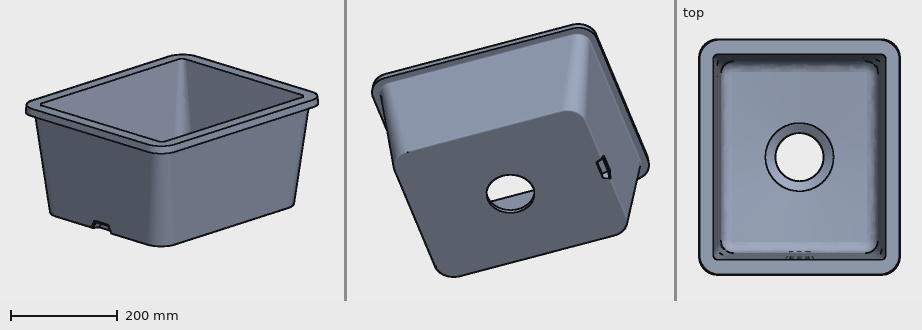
import cadquery as cq

length_x = 378.0
length_y = 443.0
height = 214.0

rim_height = 14.0
rim_draft = 1.5
rim_corner_radius = 36.0

body_top_inset = 15.0
body_bottom_inset = 32.0
body_top_radius = 25.2
body_bottom_radius = 37.5
bottom_edge_radius = 3.0
rim_joint_radius = 3.0

opening_x = 324.5
opening_y = 386.3
basin_depth = 192.2
floor_slope = 0.08
basin_wall_inset_x = 17.5
basin_wall_inset_y = 15.5
basin_top_radius = 10.0
basin_bottom_radius = 25.5
floor_fillet_radius = 22.0

drain_diameter = 90.0
drain_seat_diameter = 122.0
drain_edge_diameter = 128.0
drain_edge_depth = 1.8
drain_seat_depth = 13.5

notch_depth = 13.5
notch_flare_depth = 2.0
notch_mouth_height = 17.0
notch_mouth_top_width = 36.0
notch_mouth_bottom_width = 53.0
notch_throat_height = 13.5
notch_throat_top_width = 33.5
notch_throat_bottom_width = 47.5
notch_back_height = 8.5
notch_back_top_width = 30.0
notch_back_bottom_width = 37.5

selection_margin = 0.5

rim_bottom = height - rim_height
floor_level = height - basin_depth


def tapered_block(bottom_size, bottom_radius, bottom_z, top_size, top_radius, top_z):
    """Block with straight tapered walls and rounded corners that change radius with height."""
    bottom = cq.Sketch().rect(*bottom_size).vertices().fillet(bottom_radius)
    top = cq.Sketch().rect(*top_size).vertices().fillet(top_radius)
    return (
        cq.Workplane("XY")
        .placeSketch(
            bottom.moved(cq.Location(cq.Vector(0, 0, bottom_z))),
            top.moved(cq.Location(cq.Vector(0, 0, top_z))),
        )
        .loft(ruled=True)
    )


def inset_size(size, inset):
    return size[0] - 2 * inset, size[1] - 2 * inset


def make_outside():
    outer_size = (length_x, length_y)
    rim = tapered_block(
        outer_size, rim_corner_radius, rim_bottom,
        inset_size(outer_size, rim_draft), rim_corner_radius, height,
    )
    body = tapered_block(
        inset_size(outer_size, body_bottom_inset), body_bottom_radius, 0,
        inset_size(outer_size, body_top_inset), body_top_radius, rim_bottom,
    )
    body = body.faces("<Z").edges().fillet(bottom_edge_radius)
    outside = body.union(rim)
    half_x = (length_x - body_top_inset) / 2
    half_y = (length_y - body_top_inset) / 2
    joint_box = cq.selectors.BoxSelector(
        (-half_x, -half_y, rim_bottom - selection_margin),
        (half_x, half_y, rim_bottom + selection_margin),
        boundingbox=True,
    )
    return outside.edges(joint_box).fillet(rim_joint_radius)


def make_basin():
    """Tapered cavity whose floor falls toward the drain as a shallow cone."""
    bottom_size = (opening_x - 2 * basin_wall_inset_x, opening_y - 2 * basin_wall_inset_y)
    basin = tapered_block(
        bottom_size, basin_bottom_radius, floor_level,
        (opening_x, opening_y), basin_top_radius, height,
    )
    drain_edge_radius = drain_edge_diameter / 2
    cone_radius = length_y
    cone_rise = floor_slope * (cone_radius - drain_edge_radius)
    floor_space = (
        cq.Workplane("XZ")
        .polyline([
            (0, floor_level),
            (drain_edge_radius, floor_level),
            (cone_radius, floor_level + cone_rise),
            (cone_radius, height),
            (0, height),
        ])
        .close()
        .revolve(360, (0, 0, 0), (0, 1, 0))
    )
    basin = basin.intersect(floor_space)
    floor_edges = basin.faces("%CONE").edges("not %CIRCLE")
    return floor_edges.fillet(floor_fillet_radius)


def make_drain():
    """Through hole with a conical seat and a narrow flared edge at the basin floor."""
    edge_bottom = floor_level - drain_edge_depth
    seat_bottom = floor_level - drain_seat_depth
    return (
        cq.Workplane("XZ")
        .polyline([
            (0, 0),
            (drain_diameter / 2, 0),
            (drain_diameter / 2, seat_bottom),
            (drain_seat_diameter / 2, edge_bottom),
            (drain_edge_diameter / 2, floor_level),
            (0, floor_level),
        ])
        .close()
        .revolve(360, (0, 0, 0), (0, 1, 0))
    )


def notch_outline(workplane, bottom_width, top_width, notch_height):
    return workplane.polyline([
        (-bottom_width / 2, 0),
        (bottom_width / 2, 0),
        (top_width / 2, notch_height),
        (-top_width / 2, notch_height),
    ]).close()


def make_notch():
    """Blind tapered notch with a short flare where it meets the wall."""
    wall_y = -length_y / 2 + body_bottom_inset
    mouth = notch_outline(
        cq.Workplane("XZ", origin=(0, wall_y, 0)),
        notch_mouth_bottom_width, notch_mouth_top_width, notch_mouth_height,
    )
    throat = notch_outline(
        mouth.workplane(offset=-notch_flare_depth),
        notch_throat_bottom_width, notch_throat_top_width, notch_throat_height,
    )
    back = notch_outline(
        throat.workplane(offset=notch_flare_depth - notch_depth),
        notch_back_bottom_width, notch_back_top_width, notch_back_height,
    )
    outer_opening = notch_outline(
        cq.Workplane("XZ", origin=(0, wall_y, 0)),
        notch_mouth_bottom_width, notch_mouth_top_width, notch_mouth_height,
    ).extrude(body_bottom_inset)
    return back.loft(ruled=True).union(outer_opening)


result = make_outside().cut(make_basin()).cut(make_drain()).cut(make_notch())